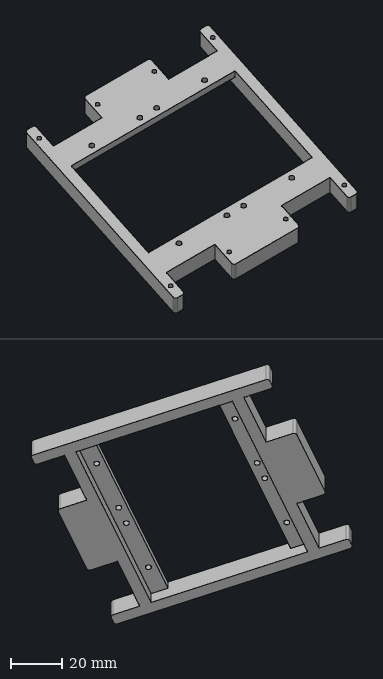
import cadquery as cq

length = 100.0
width = 88.0
thickness = 10.0

rail_width = 4.8
frame_width = 75.2
opening_length = 51.4
opening_width = width - 2 * rail_width
block_width = 32.0
corner_radius = 1.2

ledge_thickness = 4.2
recess_height = thickness - ledge_thickness
recess_outer_wall = rail_width
recess_length = frame_width - 2 * recess_outer_wall

through_diameter = 2.2
through_x = 29.0
through_y_inner = 4.0
through_y_outer = 27.0

blind_diameter = 1.8
blind_depth = 8.0
blind_x = 43.8
blind_edge_distance = rail_width / 2
blind_y_rail = width / 2 - blind_edge_distance
blind_y_block = block_width / 2 - blind_edge_distance


def rounded_bar(bar_width, center_y):
    """Full-length bar with rounded vertical corners."""
    bar = cq.Workplane("XY").box(length, bar_width, thickness, centered=(True, True, False))
    return bar.edges("|Z").fillet(corner_radius).translate((0, center_y, 0))


def mirrored_points(x, y_values):
    """Positions repeated in all four quadrants."""
    return [(sx * x, sy * y) for sx in (-1, 1) for sy in (-1, 1) for y in y_values]


rail_y = (width - rail_width) / 2
body = cq.Workplane("XY").box(frame_width, width, thickness, centered=(True, True, False))
body = body.union(rounded_bar(block_width, 0))
for side in (-1, 1):
    body = body.union(rounded_bar(rail_width, side * rail_y))

opening = cq.Workplane("XY").box(
    opening_length, opening_width, thickness, centered=(True, True, False)
)
body = body.cut(opening)

recess = cq.Workplane("XY").box(
    recess_length, opening_width, recess_height, centered=(True, True, False)
)
body = body.cut(recess)

through_holes = (
    cq.Workplane("XY")
    .pushPoints(mirrored_points(through_x, (through_y_inner, through_y_outer)))
    .circle(through_diameter / 2)
    .extrude(thickness)
)

blind_holes = (
    cq.Workplane("XY", origin=(0, 0, thickness))
    .pushPoints(mirrored_points(blind_x, (blind_y_block, blind_y_rail)))
    .circle(blind_diameter / 2)
    .extrude(-blind_depth)
)

result = body.cut(through_holes).cut(blind_holes)